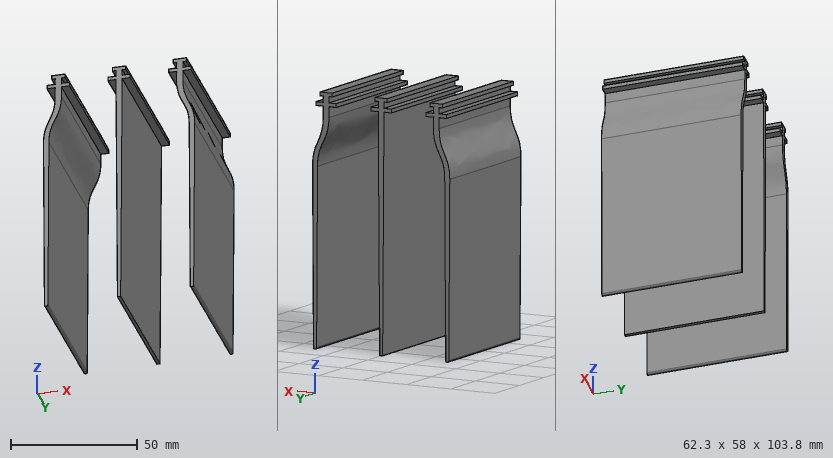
import cadquery as cq

height = 103.8
depth = 58.0
overall_width = 62.3
strip_pitch = 25.0

head_width = 5.5
head_thickness = 1.6
flange_width = 9.2
flange_thickness = 1.6
flange_top_z = height - 4.0
flange_bottom_z = flange_top_z - flange_thickness
stem_width = 2.6

bend_top_z = height - 10.0
bend_bottom_z = height - 30.0
knee_thickness = 2.3
outer_tip_thickness = 1.5
middle_tip_thickness = 1.3
knee_outer_x = overall_width / 2
knee_inner_x = knee_outer_x - knee_thickness
outer_tip_center_x = (knee_outer_x + knee_inner_x) / 2
bend_tangent_share = 0.5


def extrude_profile(profile):
    """Extrude an XZ profile along the full depth, centred on Y = 0."""
    return profile.extrude(depth).translate((0, depth / 2, 0))


def bar(center_x, width, bottom_z, top_z):
    """Rectangular bar that runs the full depth."""
    profile = cq.Workplane("XZ").center(center_x, (bottom_z + top_z) / 2).rect(width, top_z - bottom_z)
    return extrude_profile(profile)


def rail(center_x):
    """Head, stem and flange of one strip."""
    head = bar(center_x, head_width, height - head_thickness, height)
    stem = bar(center_x, stem_width, flange_bottom_z, height)
    flange = bar(center_x, flange_width, flange_bottom_z, flange_top_z)
    return head.union(stem).union(flange)


def middle_strip():
    """Straight strip whose blade tapers evenly from the flange to a blunt tip."""
    half_root = stem_width / 2
    half_tip = middle_tip_thickness / 2
    profile = (
        cq.Workplane("XZ")
        .moveTo(-half_root, flange_bottom_z)
        .lineTo(half_root, flange_bottom_z)
        .lineTo(half_tip, 0)
        .lineTo(-half_tip, 0)
        .close()
    )
    return rail(0).union(extrude_profile(profile))


def s_bend(start_x, start_z, end_x, end_z):
    """Bezier control points of an S-curve that is upright at both ends."""
    tangent_rise = bend_tangent_share * (end_z - start_z)
    return [
        (start_x, start_z),
        (start_x, start_z + tangent_rise),
        (end_x, end_z - tangent_rise),
        (end_x, end_z),
    ]


def outer_strip():
    """Strip on the +X side, with a blade that bends outward and ends in a round tip."""
    stem_inner_x = strip_pitch - stem_width / 2
    stem_outer_x = strip_pitch + stem_width / 2
    tip_radius = outer_tip_thickness / 2
    profile = (
        cq.Workplane("XZ")
        .moveTo(stem_inner_x, flange_bottom_z)
        .lineTo(stem_outer_x, flange_bottom_z)
        .lineTo(stem_outer_x, bend_top_z)
        .bezier(s_bend(stem_outer_x, bend_top_z, knee_outer_x, bend_bottom_z))
        .lineTo(outer_tip_center_x + tip_radius, tip_radius)
        .threePointArc((outer_tip_center_x, 0), (outer_tip_center_x - tip_radius, tip_radius))
        .lineTo(knee_inner_x, bend_bottom_z)
        .bezier(s_bend(knee_inner_x, bend_bottom_z, stem_inner_x, bend_top_z))
        .close()
    )
    return rail(strip_pitch).union(extrude_profile(profile))


center_strip = middle_strip()
right_strip = outer_strip()
left_strip = right_strip.mirror("YZ")

result = cq.Compound.makeCompound([left_strip.val(), center_strip.val(), right_strip.val()])